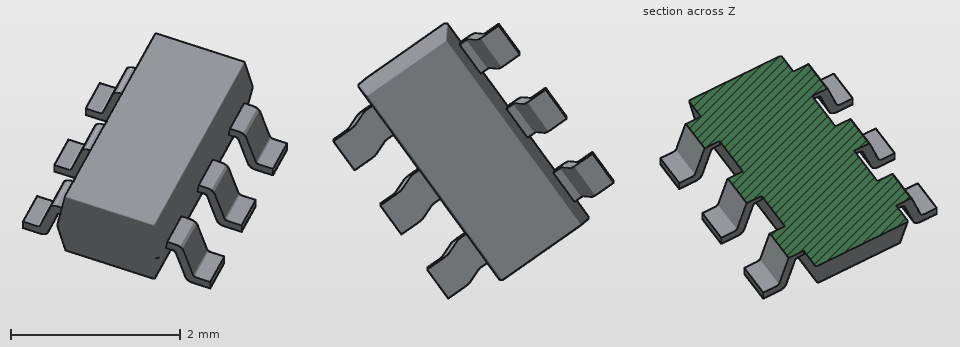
import cadquery as cq
import math

body_width = 1.3
body_length = 2.9
body_bottom_z = 0.1
parting_z = 0.6
body_top_z = 1.1
draft_angle = 8.5
body_edge_radius = 0.025

lead_span = 2.4
lead_width = 0.43
lead_thickness = 0.12
lead_pitch = 0.95
leads_per_side = 3
foot_length = 0.212
leg_angle = 72.5
outside_bend_radius = 0.105
inside_bend_radius = 0.05
lead_embedment = 0.15


def make_body_half(height):
    """Tapered block growing from the parting plane; negative height grows down."""
    return (
        cq.Workplane("XY")
        .workplane(offset=parting_z)
        .rect(body_width, body_length)
        .extrude(height, taper=draft_angle)
    )


def make_body():
    """Both halves, with every edge rounded except the sharp parting line."""
    upper = make_body_half(body_top_z - parting_z)
    lower = make_body_half(body_bottom_z - parting_z)
    upper = upper.edges("not(<Z)").fillet(body_edge_radius)
    lower = lower.edges("not(>Z)").fillet(body_edge_radius)
    return upper.union(lower)


def make_lead():
    """One lead on the -X side, centred on Y = 0."""
    tip_x = -lead_span / 2
    root_x = -body_width / 2 + lead_embedment
    knee_x = tip_x + foot_length
    shoulder_underside_z = parting_z - lead_thickness
    shoulder_x = knee_x + shoulder_underside_z / math.tan(math.radians(leg_angle))
    corner_shift = lead_thickness * math.tan(math.radians(leg_angle / 2))

    lead = (
        cq.Workplane("XZ")
        .moveTo(tip_x, 0)
        .lineTo(knee_x + corner_shift, 0)
        .lineTo(shoulder_x + corner_shift, shoulder_underside_z)
        .lineTo(root_x, shoulder_underside_z)
        .lineTo(root_x, parting_z)
        .lineTo(shoulder_x, parting_z)
        .lineTo(knee_x, lead_thickness)
        .lineTo(tip_x, lead_thickness)
        .close()
        .extrude(lead_width / 2, both=True)
    )

    def bend_edge(x, z):
        return cq.selectors.NearestToPointSelector((x, 0, z))

    lead = lead.edges(bend_edge(knee_x + corner_shift, 0)).fillet(outside_bend_radius)
    lead = lead.edges(bend_edge(shoulder_x, parting_z)).fillet(outside_bend_radius)
    lead = lead.edges(bend_edge(knee_x, lead_thickness)).fillet(inside_bend_radius)
    inside_shoulder = bend_edge(shoulder_x + corner_shift, shoulder_underside_z)
    return lead.edges(inside_shoulder).fillet(inside_bend_radius)


def make_part():
    part = make_body()
    left_lead = make_lead()
    right_lead = left_lead.mirror("YZ")
    for index in range(leads_per_side):
        lead_y = (index - (leads_per_side - 1) / 2) * lead_pitch
        for lead in (left_lead, right_lead):
            part = part.union(lead.translate((0, lead_y, 0)))
    return part


result = make_part()